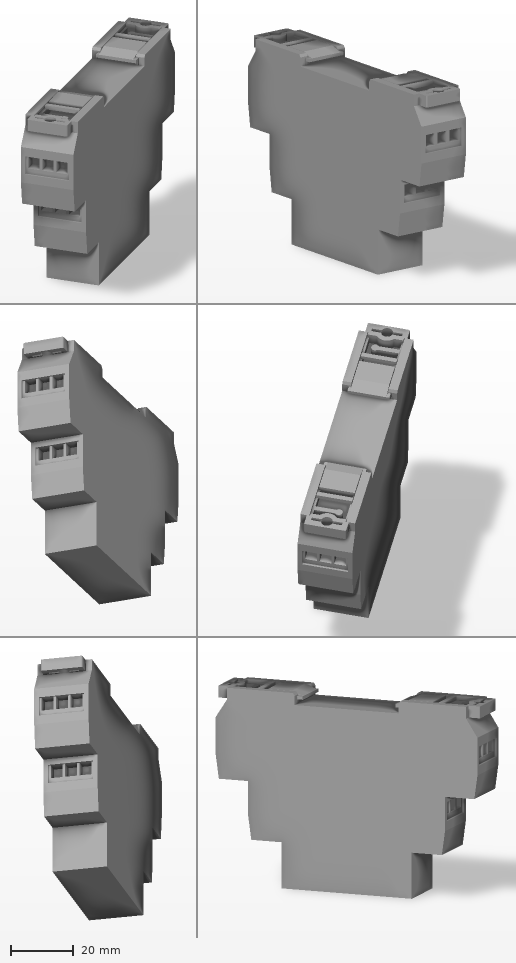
import cadquery as cq


WIDTH = 18.0
LENGTH = 90.0
HEIGHT = 64.0

CLIP_HEIGHT = 3.9
DECK_Z = HEIGHT - CLIP_HEIGHT
DECK_HALF = 41.1
UPPER_HALF = LENGTH / 2
UPPER_TOP_Z = 54.2
UPPER_BOTTOM_Z = 34.1
LOWER_HALF = 33.8
LOWER_BOTTOM_Z = 15.0
BASE_HALF = 22.4
TAPER_HEIGHT = 7.8
TAPER_INSET = 1.1

WINDOW_WIDTH = 14.9
WINDOW_HEIGHT = 6.2
WINDOW_DEPTH = 0.7
UPPER_WINDOW_TOP_Z = 51.1
LOWER_WINDOW_TOP_Z = 32.1
POCKET_WIDTH = 3.9
POCKET_HEIGHT = 4.3
POCKET_DEPTH = 4.5
POCKET_PITCH = 4.8
POCKET_OFFSETS = (-POCKET_PITCH, 0.0, POCKET_PITCH)

WALL_INNER_Y = 17.8
WALL_CHAMFER_LENGTH = 0.6
WALL_CHAMFER_DROP = 0.9
CHANNEL_WIDTH = 12.15
CHANNEL_FOOT_WIDTH = 14.2
CHANNEL_FOOT_TOP_Z = 62.7

PLATE_WIDTH = 13.8
PLATE_TOP_Z = 62.6
RAISED_WIDTH = 11.7
TIP_Y = 15.9
TIP_BOTTOM_Z = 61.6
TIP_SLOPE_Y = 20.25
LATCH_OUTER_Y = 28.3
CROSSBAR_INNER_Y = 30.3
CROSSBAR_OUTER_Y = 31.95
OPENING_WIDTH = 10.7

TONGUE_Y = 36.3
TONGUE_WIDTH = 1.6
TONGUE_END_X = -2.5
TONGUE_END_RADIUS = 1.3

TAB_INNER_Y = 40.05
TAB_CHAMFER = 0.3
TAB_HOLE_Y = 42.3
TAB_HOLE_RADIUS = 1.9
TAB_BOSS_RADIUS = 3.6
TAB_SLOT_LENGTH = 10.1
TAB_SLOT_WIDTH = 1.1


def block(width, y_start, y_end, z_start, z_end, x_center=0.0):
    """Box between two Y positions and two heights."""
    box = cq.Workplane("XY").box(width, y_end - y_start, z_end - z_start, centered=(True, False, False))
    return box.translate((x_center, y_start, z_start))


def cylinder(x, y, radius, z_start, z_end):
    """Upright cylinder between two heights."""
    return cq.Workplane("XY").workplane(offset=z_start).center(x, y).circle(radius).extrude(z_end - z_start)


def extrude_side(points, width):
    """Extrude a (Y, Z) outline symmetrically along X."""
    return cq.Workplane("YZ").polyline(points).close().extrude(width / 2, both=True)


def both_ends(feature):
    """Repeat a feature of the +Y end at the -Y end, turned half a revolution about Z."""
    return feature.union(feature.rotate((0, 0, 0), (0, 0, 1), 180))


def make_body():
    half_profile = [
        (BASE_HALF, 0),
        (BASE_HALF, LOWER_BOTTOM_Z),
        (LOWER_HALF - TAPER_INSET, LOWER_BOTTOM_Z),
        (LOWER_HALF, LOWER_BOTTOM_Z + TAPER_HEIGHT),
        (LOWER_HALF, UPPER_BOTTOM_Z),
        (UPPER_HALF - TAPER_INSET, UPPER_BOTTOM_Z),
        (UPPER_HALF, UPPER_BOTTOM_Z + TAPER_HEIGHT),
        (UPPER_HALF, UPPER_TOP_Z),
        (DECK_HALF, DECK_Z),
    ]
    mirrored = [(-y, z) for y, z in reversed(half_profile)]
    return extrude_side(half_profile + mirrored, WIDTH)


def make_window(face_y, top_z):
    """Cutter for a shallow window with a row of deeper wire pockets behind it."""
    cutter = block(WINDOW_WIDTH, face_y - WINDOW_DEPTH, face_y, top_z - WINDOW_HEIGHT, top_z)
    for x in POCKET_OFFSETS:
        pocket = block(POCKET_WIDTH, face_y - POCKET_DEPTH, face_y, top_z - POCKET_HEIGHT, top_z, x)
        cutter = cutter.union(pocket)
    return cutter


def make_walls():
    profile = [
        (DECK_HALF, DECK_Z),
        (DECK_HALF, HEIGHT),
        (WALL_INNER_Y + WALL_CHAMFER_LENGTH, HEIGHT),
        (WALL_INNER_Y, HEIGHT - WALL_CHAMFER_DROP),
        (WALL_INNER_Y, DECK_Z),
    ]
    channel = block(CHANNEL_WIDTH, WALL_INNER_Y, DECK_HALF, DECK_Z, HEIGHT)
    channel_foot = block(CHANNEL_FOOT_WIDTH, WALL_INNER_Y, DECK_HALF, DECK_Z, CHANNEL_FOOT_TOP_Z)
    return extrude_side(profile, WIDTH).cut(channel).cut(channel_foot)


def make_clip_plate():
    """Low plate with one large opening, bridged by the spring tongue."""
    plate = block(PLATE_WIDTH, WALL_INNER_Y, DECK_HALF, DECK_Z, PLATE_TOP_Z)
    tip = block(PLATE_WIDTH, TIP_Y, WALL_INNER_Y, TIP_BOTTOM_Z, PLATE_TOP_Z)
    opening = block(OPENING_WIDTH, LATCH_OUTER_Y, TAB_INNER_Y, DECK_Z, PLATE_TOP_Z)
    tongue_length = OPENING_WIDTH / 2 - TONGUE_END_X
    tongue = block(
        tongue_length,
        TONGUE_Y - TONGUE_WIDTH / 2,
        TONGUE_Y + TONGUE_WIDTH / 2,
        DECK_Z,
        PLATE_TOP_Z,
        TONGUE_END_X + tongue_length / 2,
    )
    tongue_end = cylinder(TONGUE_END_X, TONGUE_Y, TONGUE_END_RADIUS, DECK_Z, PLATE_TOP_Z)
    return plate.union(tip).cut(opening).union(tongue).union(tongue_end)


def make_latch():
    """Raised block with a sloping lead-in towards the rail."""
    profile = [
        (TIP_Y, PLATE_TOP_Z),
        (TIP_SLOPE_Y, HEIGHT),
        (LATCH_OUTER_Y, HEIGHT),
        (LATCH_OUTER_Y, PLATE_TOP_Z),
    ]
    return extrude_side(profile, RAISED_WIDTH)


def make_pull_tab():
    """Head outside the walls and neck between them, with a round boss on the neck."""
    head = block(PLATE_WIDTH, DECK_HALF, UPPER_HALF, DECK_Z, HEIGHT)
    head = head.edges("|Z and >Y").chamfer(TAB_CHAMFER)
    neck = block(RAISED_WIDTH, TAB_INNER_Y, DECK_HALF, DECK_Z, HEIGHT)
    boss = cylinder(0, TAB_HOLE_Y, TAB_BOSS_RADIUS, DECK_Z, HEIGHT)
    boss = boss.intersect(block(RAISED_WIDTH, LATCH_OUTER_Y, DECK_HALF, DECK_Z, HEIGHT))
    return head.union(neck).union(boss)


def make_tab_hole():
    """Cutter for the round screwdriver hole and its cross slot."""
    hole = cylinder(0, TAB_HOLE_Y, TAB_HOLE_RADIUS, DECK_Z, HEIGHT)
    slot = block(
        TAB_SLOT_LENGTH,
        TAB_HOLE_Y - TAB_SLOT_WIDTH / 2,
        TAB_HOLE_Y + TAB_SLOT_WIDTH / 2,
        DECK_Z,
        HEIGHT,
    )
    return hole.union(slot)


def make_clip():
    crossbar = block(RAISED_WIDTH, CROSSBAR_INNER_Y, CROSSBAR_OUTER_Y, PLATE_TOP_Z, HEIGHT)
    clip = make_clip_plate().union(make_latch()).union(crossbar).union(make_pull_tab())
    return clip.cut(make_tab_hole())


windows = make_window(UPPER_HALF, UPPER_WINDOW_TOP_Z).union(make_window(LOWER_HALF, LOWER_WINDOW_TOP_Z))

result = make_body()
result = result.cut(both_ends(windows))
result = result.union(both_ends(make_walls()))
result = result.union(both_ends(make_clip()))